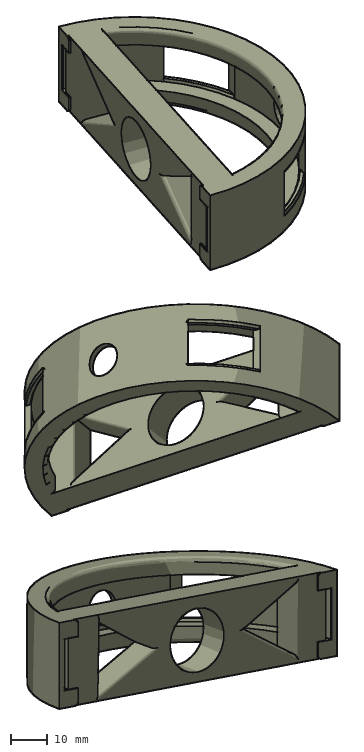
import cadquery as cq
import math

outer_radius = 47.45
width = 24.8
wall_thickness = 1.85
rim_depth = 6.5
rim_width = 5.0
rim_edge_radius = 1.4

bar_back = 10.15
pad_height = 0.5
pad_inner_x = 41.0
pad_corner_radius = 1.2
bar_half_length = 44.0
bar_hole_diameter = 18.3
bar_hole_z = -0.35

left_triangle = (-27.1, -0.1, 14.2, -1.2)
right_triangle = (28.0, 0.1, 13.7, 180.0)
triangle_edge_radius = 1.0

window_start_y = 27.2
window_end_y = 40.95
window_height = 13.1
window_edge_inset = 0.4
arch_hole_width = 9.1
arch_hole_height = 10.0
arch_hole_z = -1.1

inner_radius = outer_radius - rim_depth
channel_radius = outer_radius - wall_thickness
channel_width = width - 2 * rim_width
overcut = 1.0


def half_disc(radius, height):
    """Half disc on the +Y side, centred on Z = 0."""
    return (
        cq.Workplane("XY")
        .moveTo(-radius, 0)
        .threePointArc((0, radius), (radius, 0))
        .close()
        .extrude(height / 2, both=True)
    )


def centred_box(size_x, start_y, end_y, size_z):
    """Box centred on X and Z, running from start_y to end_y."""
    return (
        cq.Workplane("XY")
        .box(size_x, end_y - start_y, size_z)
        .translate((0, (start_y + end_y) / 2, 0))
    )


def make_arch():
    """Half ring with rounded rims; the channel is open toward the bar and down to the front."""
    ring_cut = half_disc(inner_radius, width + 2 * overcut)
    arch = half_disc(outer_radius, width).cut(ring_cut)
    rim_edges = cq.selectors.RadiusNthSelector(0)
    arch = arch.faces("<Z or >Z").edges(rim_edges).fillet(rim_edge_radius)
    return arch.cut(half_disc(channel_radius, channel_width))


def make_bar():
    """Straight bar: full width under the rims, shortened where it enters the channel."""
    end_slab = centred_box(2 * outer_radius, 0, bar_back, width)
    bar = half_disc(outer_radius, width).intersect(end_slab)
    channel = half_disc(channel_radius, channel_width)
    core = centred_box(2 * bar_half_length, 0, bar_back, channel_width)
    return bar.cut(channel).union(core)


def pad_relief():
    """Shallow layer removed from the front face between the pads."""
    relief = centred_box(2 * pad_inner_x, -overcut, pad_height, width)
    channel = centred_box(2 * channel_radius, -overcut, pad_height, channel_width)
    return relief.union(channel)


def pad_corner_cut(side_x, side_z):
    """Sliver that rounds one outer corner of a pad."""
    corner_x = side_x * pad_inner_x
    corner_z = side_z * width / 2
    centre_x = corner_x + side_x * pad_corner_radius
    centre_z = corner_z - side_z * pad_corner_radius
    diagonal = pad_corner_radius * math.sqrt(0.5)
    return (
        cq.Workplane("XZ")
        .moveTo(corner_x, corner_z)
        .lineTo(centre_x, corner_z)
        .threePointArc((centre_x - side_x * diagonal, centre_z + side_z * diagonal), (corner_x, centre_z))
        .close()
        .extrude(-pad_height)
    )


def cut_triangle(bar, triangle):
    """Cut a triangular opening through the bar and round its mouths on both faces."""
    centre_x, centre_z, mouth_corner_distance, pointing = triangle
    throat_corner_distance = mouth_corner_distance - 2 * triangle_edge_radius
    corners = []
    for turn in (0, 120, 240):
        angle = math.radians(pointing + turn)
        corner_x = centre_x + throat_corner_distance * math.cos(angle)
        corner_z = centre_z + throat_corner_distance * math.sin(angle)
        corners.append((corner_x, corner_z))
    front = cq.Workplane("XZ", origin=(0, pad_height, 0))
    prism = front.polyline(corners).close().extrude(-bar_back)
    bar = bar.cut(prism)
    for face_y in (pad_height, bar_back):
        mouth_zone = cq.selectors.BoxSelector(
            (centre_x - throat_corner_distance, face_y - pad_height / 2, -channel_width / 2),
            (centre_x + throat_corner_distance, face_y + pad_height / 2, channel_width / 2),
        )
        bar = bar.edges(mouth_zone).fillet(triangle_edge_radius)
    return bar


def cut_bar_hole(bar):
    """Round through hole in the middle of the bar."""
    hole = (
        cq.Workplane("XZ")
        .center(0, bar_hole_z)
        .circle(bar_hole_diameter / 2)
        .extrude(-bar_back - overcut)
    )
    return bar.cut(hole)


def window_sill(side_z):
    """Half ring along one long side of the windows, narrowing toward the opening on both faces."""
    base_z = side_z * channel_width / 2
    edge_z = side_z * window_height / 2
    profile = [
        (channel_radius, base_z),
        (channel_radius + window_edge_inset, edge_z),
        (outer_radius - window_edge_inset, edge_z),
        (outer_radius, base_z),
    ]
    return cq.Workplane("XZ").polyline(profile).close().revolve(180, (0, 0), (0, 1))


def cut_windows(arch):
    """Cut one window in each side of the arch wall, parallel to X, leaving bevelled sills."""
    opening = centred_box(2 * outer_radius + overcut, window_start_y, window_end_y, channel_width)
    for side_z in (-1, 1):
        opening = opening.cut(window_sill(side_z))
    return arch.cut(opening)


def cut_arch_hole(arch):
    """Slightly tall oval hole through the crown of the arch wall."""
    hole = (
        cq.Workplane("XZ", origin=(0, inner_radius, 0))
        .center(0, arch_hole_z)
        .ellipse(arch_hole_width / 2, arch_hole_height / 2)
        .extrude(-rim_depth - overcut)
    )
    return arch.cut(hole)


arch = cut_arch_hole(cut_windows(make_arch()))

bar = make_bar().cut(pad_relief())
for side_x in (-1, 1):
    for side_z in (-1, 1):
        bar = bar.cut(pad_corner_cut(side_x, side_z))
for triangle in (left_triangle, right_triangle):
    bar = cut_triangle(bar, triangle)
bar = cut_bar_hole(bar)

bar_zone = centred_box(2 * outer_radius + overcut, -overcut, bar_back, width + overcut)
result = arch.cut(bar_zone).union(bar)